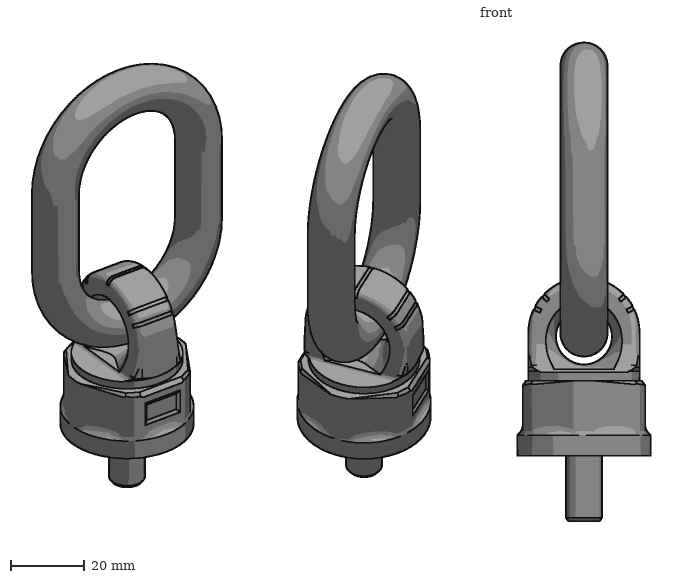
import cadquery as cq
import math


stud_radius = 5.0
stud_length = 18.0
stud_chamfer_height = 1.0
stud_chamfer_width = 0.8
flange_radius = 36.5 / 2
flange_height = 5.6
collar_apothem = 16.8
collar_corner_radius = 36.0 / 2
collar_top = 20.6
collar_edge_fillet = 1.6
cone_top_radius = 14.4
cone_fillet = 2.6

flat_bevel = (0, 15.9)
corner_bevel = (28, 17.3)
fading_bevel = (57, 16.4)
bevel_width = 2.8
bevel_slope = 1.5
bevel_length = 2 * collar_corner_radius

panel_width = 11.8
panel_height = 7.1
panel_floor_width = 9.8
panel_floor_height = 5.0
panel_depth = 0.5
panel_center_z = 13.5

disc_radius = 30.5 / 2
disc_top = 22.8
eye_radius = disc_radius
eye_center_z = 33.5
eye_edge_fillet = 2.2
eye_half_thickness = 6.5
eye_flare_start_z = 40.6
eye_flare_radius = 78.6
foot_fillet = 2.0
foot_trim_z = 23.0
foot_trim_height = 1.2
foot_trim_width = 1.0
bore_center_z = 32.6
bore_radius = 7.6
bore_mouth_radius = 10.6
bore_mouth_y = 7.2
bore_floor_z = 23.7

lower_groove_angle = 27
upper_groove_angle = 42.5
groove_angles = (
    lower_groove_angle, upper_groove_angle, 90, 180 - upper_groove_angle, 180 - lower_groove_angle,
)
groove_width = 1.0
groove_depth = 0.1
groove_reach = 2.0

wire_radius = 13.0 / 2
ring_width = 61.0
ring_top = 113.0
ring_straight = 24.9


def revolve_about_z(profile):
    """Close a half profile drawn in the XZ plane and turn it around the Z axis."""
    return profile.close().revolve(360, (0, 0, 0), (0, 1, 0))


def cylinder(radius, bottom, top):
    return cq.Workplane("XY").workplane(offset=bottom).circle(radius).extrude(top - bottom)


def make_collar():
    hexagon = cq.Workplane("XY").polygon(6, 2 * collar_apothem, circumscribed=True)
    hexagon = hexagon.extrude(collar_top)
    collar = hexagon.intersect(cylinder(collar_corner_radius, 0, collar_top))
    return collar.edges("|Z").fillet(collar_edge_fillet)


def make_flange():
    """Round flange with a cone above its rim that rises into the collar."""
    cone_rise = flange_radius - cone_top_radius
    profile = (
        cq.Workplane("XZ")
        .lineTo(flange_radius, 0)
        .lineTo(flange_radius, flange_height)
        .lineTo(cone_top_radius, flange_height + cone_rise)
        .lineTo(0, flange_height + cone_rise)
    )
    return revolve_about_z(profile)


def make_bevel_cutter(direction, distance):
    """Wedge outside a sloping plane that crosses the collar top at the given distance from the axis."""
    outer = distance + bevel_width
    bottom = collar_top - bevel_width * bevel_slope
    wedge = (
        cq.Workplane("XZ")
        .polyline([(distance, collar_top), (outer, collar_top), (outer, bottom)])
        .close()
        .extrude(bevel_length / 2, both=True)
    )
    return wedge.rotate((0, 0, 0), (0, 0, 1), direction)


def make_panel_cutter():
    return (
        cq.Workplane("YZ", origin=(collar_apothem, 0, panel_center_z))
        .rect(panel_width, panel_height)
        .workplane(offset=-panel_depth)
        .rect(panel_floor_width, panel_floor_height)
        .loft(ruled=True)
    )


def make_stud():
    profile = (
        cq.Workplane("XZ")
        .lineTo(stud_radius, 0)
        .lineTo(stud_radius, stud_chamfer_height - stud_length)
        .lineTo(stud_radius - stud_chamfer_width, -stud_length)
        .lineTo(0, -stud_length)
    )
    return revolve_about_z(profile)


def make_base():
    base = make_collar().union(make_flange())
    base = base.edges("%HYPERBOLA").fillet(cone_fillet)
    for side in (0, 180):
        for direction, distance in (flat_bevel, corner_bevel, fading_bevel):
            for bevel_direction in {direction, -direction}:
                base = base.cut(make_bevel_cutter(side + bevel_direction, distance))
        base = base.cut(make_panel_cutter().rotate((0, 0, 0), (0, 0, 1), side))
    return base.union(make_stud())


def half_thickness_at(z):
    """Half thickness of the plate below the height where its sides start to curve outwards."""
    drop = eye_flare_start_z - z
    return eye_half_thickness + eye_flare_radius - math.sqrt(eye_flare_radius ** 2 - drop ** 2)


def make_eye_plate(inset=0.0):
    """Arched plate, thicker towards its foot, with rounded outer edges; inset shrinks its outline."""
    half_width = eye_radius - inset
    arch = (
        cq.Workplane("XZ")
        .moveTo(-half_width, collar_top)
        .lineTo(half_width, collar_top)
        .lineTo(half_width, eye_center_z)
        .threePointArc((0, eye_center_z + half_width), (-half_width, eye_center_z))
        .close()
        .extrude(eye_radius, both=True)
    )
    top = eye_center_z + eye_radius
    upper = eye_half_thickness - inset
    middle_z = (collar_top + eye_flare_start_z) / 2
    middle = half_thickness_at(middle_z) - inset
    lower = half_thickness_at(collar_top) - inset
    side_profile = (
        cq.Workplane("YZ")
        .moveTo(-lower, collar_top)
        .lineTo(lower, collar_top)
        .threePointArc((middle, middle_z), (upper, eye_flare_start_z))
        .lineTo(upper, top)
        .lineTo(-upper, top)
        .lineTo(-upper, eye_flare_start_z)
        .threePointArc((-middle, middle_z), (-lower, collar_top))
        .close()
        .extrude(eye_radius, both=True)
    )
    plate = arch.intersect(side_profile)
    return plate.edges("not(|X or |Y)").fillet(eye_edge_fillet)


def make_foot():
    """Concave fillets running along X between the plate and the disc."""
    y_top = half_thickness_at(disc_top + foot_fillet)
    y_end = y_top + foot_fillet
    mid = foot_fillet * (1 - math.sqrt(0.5))
    profile = (
        cq.Workplane("YZ")
        .moveTo(-y_end, collar_top)
        .lineTo(y_end, collar_top)
        .lineTo(y_end, disc_top)
        .threePointArc((y_top + mid, disc_top + mid), (y_top, disc_top + foot_fillet))
        .lineTo(-y_top, disc_top + foot_fillet)
        .threePointArc((-y_top - mid, disc_top + mid), (-y_end, disc_top))
        .close()
    )
    return profile.extrude(eye_radius, both=True)


def make_foot_trim():
    """Envelope that keeps the foot of the plate within the disc and widens above it."""
    top = eye_center_z + eye_radius
    wide_radius = eye_radius + foot_trim_width
    profile = (
        cq.Workplane("XZ")
        .moveTo(0, collar_top)
        .lineTo(disc_radius, collar_top)
        .lineTo(disc_radius, foot_trim_z)
        .lineTo(wide_radius, foot_trim_z + foot_trim_height)
        .lineTo(wide_radius, top)
        .lineTo(0, top)
    )
    return revolve_about_z(profile)


def make_bore_cutter():
    """Trumpet-shaped bore along Y, narrowest in the middle and flat-bottomed at the foot."""
    flare = bore_mouth_radius - bore_radius
    arc_radius = (bore_mouth_y ** 2 + flare ** 2) / (2 * flare)
    reach = half_thickness_at(collar_top)
    reach_radius = bore_radius + arc_radius - math.sqrt(arc_radius ** 2 - reach ** 2)
    profile = (
        cq.Workplane("XY")
        .moveTo(0, -reach)
        .lineTo(reach_radius, -reach)
        .threePointArc((bore_radius, 0), (reach_radius, reach))
        .lineTo(0, reach)
        .close()
    )
    trumpet = profile.revolve(360, (0, 0, 0), (0, 1, 0)).translate((0, 0, bore_center_z))
    return trumpet.intersect(cylinder(disc_radius, bore_floor_z, eye_center_z + eye_radius))


def make_groove_cutter(angle):
    """Thin strip of the plate's outer skin, crossing the arch from one rounded edge to the other."""
    skin = make_eye_plate().cut(make_eye_plate(groove_depth))
    strip = cq.Workplane("XY").box(2 * groove_reach, 2 * eye_radius, groove_width)
    strip = strip.translate((eye_radius, 0, 0)).rotate((0, 0, 0), (0, 1, 0), -angle)
    return skin.intersect(strip.translate((0, 0, eye_center_z)))


def make_eye():
    eye = make_eye_plate()
    for angle in groove_angles:
        eye = eye.cut(make_groove_cutter(angle))
    eye = eye.union(make_foot()).intersect(make_foot_trim()).cut(make_bore_cutter())
    return eye.union(cylinder(disc_radius, collar_top, disc_top))


def make_ring():
    bend_radius = ring_width / 2 - wire_radius
    upper_z = ring_top - ring_width / 2
    lower_z = upper_z - ring_straight
    path = (
        cq.Workplane("YZ")
        .moveTo(bend_radius, lower_z)
        .lineTo(bend_radius, upper_z)
        .threePointArc((0, upper_z + bend_radius), (-bend_radius, upper_z))
        .lineTo(-bend_radius, lower_z)
        .threePointArc((0, lower_z - bend_radius), (bend_radius, lower_z))
        .close()
    )
    wire_section = cq.Workplane("XY", origin=(0, bend_radius, lower_z)).circle(wire_radius)
    return wire_section.sweep(path)


base = make_base()
eye = make_eye()
ring = make_ring()

result = cq.Compound.makeCompound([base.solids().val(), eye.solids().val(), ring.val()])